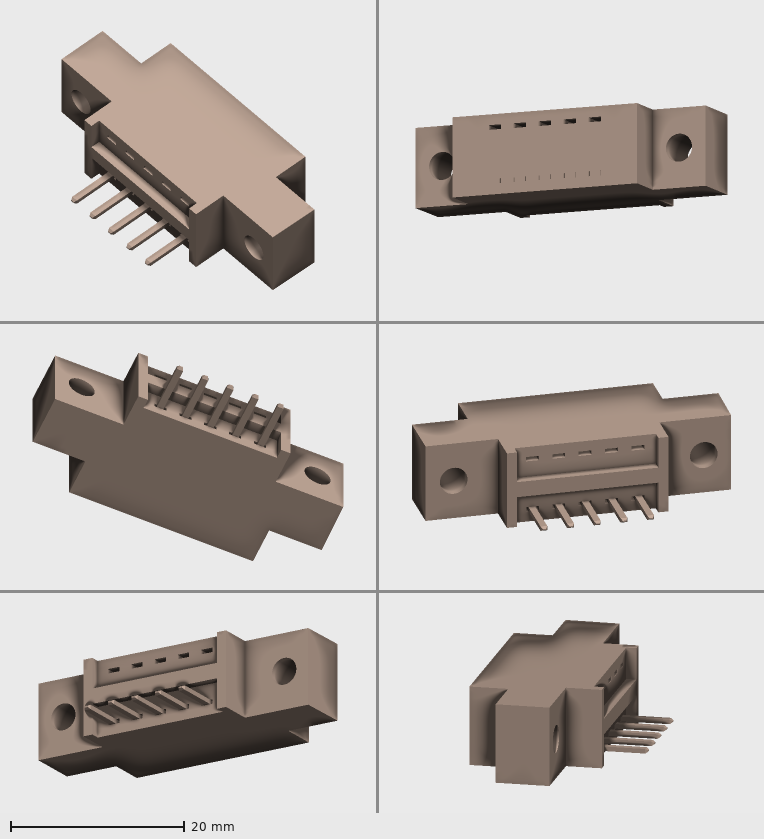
import cadquery as cq

HEIGHT = 9.4
LENGTH = 36.45
FRONT_LENGTH = 19.2
REAR_LENGTH = 23.2
FRONT_DEPTH = 4.23
FLANGE_DEPTH = 6.38
REAR_DEPTH = 4.6
END_SKEW = 0.1

FLANGE_FRONT_Y = FRONT_DEPTH
FLANGE_REAR_Y = FLANGE_FRONT_Y + FLANGE_DEPTH
REAR_Y = FLANGE_REAR_Y + REAR_DEPTH

MOUNT_HOLE_DIAMETER = 3.28
MOUNT_HOLE_SPACING = 29.75

RECESS_LENGTH = 16.8
RECESS_DEPTH = 1.2
WEB_HEIGHT = 1.9
RECESS_HEIGHT = (HEIGHT - WEB_HEIGHT) / 2

PIN_COUNT = 5
PIN_PITCH = 3.17
SLOT_PITCH = 3.15
ROW_Z = 3.17
SLOT_WIDTH = 1.53
SLOT_HEIGHT = 0.55

TAIL_WIDTH = 0.8
SHANK_WIDTH = 1.3
PIN_THICKNESS = SLOT_HEIGHT
PIN_PROJECTION = 4.8
TIP_LENGTH = 0.33
TIP_WIDTH = 0.45
TIP_THICKNESS = 0.15
SHOULDER_LENGTH = 0.87
SHOULDER_Y = 2.2

TIP_Y = -PIN_PROJECTION
TAIL_FRONT_Y = TIP_Y + TIP_LENGTH


def row_positions(pitch):
    """X of each column, centred on the housing."""
    return [(i - (PIN_COUNT - 1) / 2) * pitch for i in range(PIN_COUNT)]


def make_block():
    """Stepped outline seen along Z, extruded to the full height."""
    outline = [
        (-FRONT_LENGTH / 2, 0),
        (FRONT_LENGTH / 2, 0),
        (FRONT_LENGTH / 2, FLANGE_FRONT_Y),
        (LENGTH / 2 - END_SKEW, FLANGE_FRONT_Y),
        (LENGTH / 2, FLANGE_REAR_Y),
        (REAR_LENGTH / 2, FLANGE_REAR_Y),
        (REAR_LENGTH / 2, REAR_Y),
        (-REAR_LENGTH / 2, REAR_Y),
        (-REAR_LENGTH / 2, FLANGE_REAR_Y),
        (-LENGTH / 2, FLANGE_REAR_Y),
        (-LENGTH / 2, FLANGE_FRONT_Y),
        (-FRONT_LENGTH / 2, FLANGE_FRONT_Y),
    ]
    return cq.Workplane("XY").workplane(offset=-HEIGHT / 2).polyline(outline).close().extrude(HEIGHT)


def make_mount_holes():
    return (
        cq.Workplane("XZ")
        .pushPoints([(-MOUNT_HOLE_SPACING / 2, 0), (MOUNT_HOLE_SPACING / 2, 0)])
        .circle(MOUNT_HOLE_DIAMETER / 2)
        .extrude(-REAR_Y)
    )


def make_recesses():
    recess_z = (WEB_HEIGHT + RECESS_HEIGHT) / 2
    return (
        cq.Workplane("XZ")
        .pushPoints([(0, -recess_z), (0, recess_z)])
        .rect(RECESS_LENGTH, RECESS_HEIGHT)
        .extrude(-RECESS_DEPTH)
    )


def make_slots():
    return (
        cq.Workplane("XZ")
        .pushPoints([(x, z) for z in (-ROW_Z, ROW_Z) for x in row_positions(SLOT_PITCH)])
        .rect(SLOT_WIDTH, SLOT_HEIGHT)
        .extrude(-REAR_Y)
    )


def make_housing():
    return make_block().cut(make_mount_holes()).cut(make_recesses()).cut(make_slots())


def make_pin(x):
    """One contact pin in the lower row at the given X."""
    half_tail = TAIL_WIDTH / 2
    half_shank = SHANK_WIDTH / 2
    outline = [
        (-half_tail, TAIL_FRONT_Y),
        (half_tail, TAIL_FRONT_Y),
        (half_tail, SHOULDER_Y),
        (half_shank, SHOULDER_Y + SHOULDER_LENGTH),
        (half_shank, REAR_Y),
        (-half_shank, REAR_Y),
        (-half_shank, SHOULDER_Y + SHOULDER_LENGTH),
        (-half_tail, SHOULDER_Y),
    ]
    bar = (
        cq.Workplane("XY")
        .workplane(offset=-PIN_THICKNESS / 2)
        .polyline(outline)
        .close()
        .extrude(PIN_THICKNESS)
    )
    tip = (
        cq.Workplane("XZ", origin=(0, TAIL_FRONT_Y, 0))
        .rect(TAIL_WIDTH, PIN_THICKNESS)
        .workplane(offset=TIP_LENGTH)
        .rect(TIP_WIDTH, TIP_THICKNESS)
        .loft(ruled=True)
    )
    return bar.union(tip).translate((x, 0, -ROW_Z))


housing = make_housing()
pins = [make_pin(x) for x in row_positions(PIN_PITCH)]

result = cq.Compound.makeCompound([housing.val(), *[pin.val() for pin in pins]])